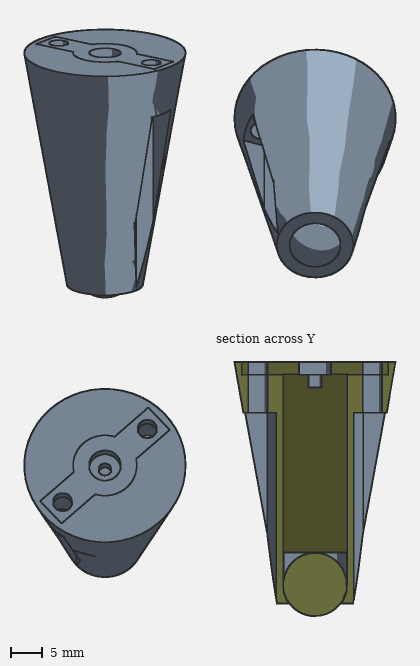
import cadquery as cq
import math

HOUSING_HEIGHT = 38.0
TOP_RADIUS = 12.7
TAPER_ANGLE = 10.0
BOTTOM_RADIUS = TOP_RADIUS - HOUSING_HEIGHT * math.tan(math.radians(TAPER_ANGLE))

BALL_DIAMETER = 10.0
BALL_RADIUS = BALL_DIAMETER / 2
BALL_PROTRUSION = 2.0
BALL_CENTER_Z = BALL_RADIUS - BALL_PROTRUSION
BALL_TOP_Z = BALL_CENTER_Z + BALL_RADIUS

PLATE_THICKNESS = 2.0
PLATE_BOTTOM_Z = HOUSING_HEIGHT - PLATE_THICKNESS
ACCESS_HOLE_DIAMETER = 5.0
HUB_DIAMETER = 2 * ACCESS_HOLE_DIAMETER
BAR_WIDTH = 5.0
SCREW_HOLE_DIAMETER = 3.0
SCREW_OFFSET = 9.0
BAR_LENGTH = 2 * SCREW_OFFSET + BAR_WIDTH

NUT_WIDTH = 5.0
NUT_CEILING_Z = HOUSING_HEIGHT - 8.0
NUT_CORNER_X = SCREW_OFFSET - NUT_WIDTH / math.sqrt(3)
NUT_SHOULDER_X = SCREW_OFFSET - NUT_WIDTH / math.sqrt(3) / 2

PLUG_LENGTH = PLATE_BOTTOM_Z - BALL_TOP_Z
PLUG_HOLE_DIAMETER = 2.0
PLUG_HOLE_DEPTH = 2.0

SIDES = (-1, 1)
SCREW_POINTS = [(side * SCREW_OFFSET, 0) for side in SIDES]


def make_ball():
    return cq.Workplane("XY").sphere(BALL_RADIUS).translate((0, 0, BALL_CENTER_Z))


def plate_blank():
    """Straight bar with a round hub at its middle."""
    seat = cq.Workplane("XY").workplane(offset=PLATE_BOTTOM_Z)
    bar = seat.rect(BAR_LENGTH, BAR_WIDTH).extrude(PLATE_THICKNESS)
    hub = seat.circle(HUB_DIAMETER / 2).extrude(PLATE_THICKNESS)
    return bar.union(hub)


def make_plate():
    top = plate_blank().faces(">Z").workplane(origin=(0, 0, HOUSING_HEIGHT))
    plate = top.circle(ACCESS_HOLE_DIAMETER / 2).cutThruAll()
    return plate.pushPoints(SCREW_POINTS).circle(SCREW_HOLE_DIAMETER / 2).cutThruAll()


def make_plug():
    """Cylinder resting on the ball, with a small blind hole in its top."""
    plug = cq.Workplane("XY").workplane(offset=BALL_TOP_Z).circle(BALL_RADIUS).extrude(PLUG_LENGTH)
    return plug.faces(">Z").workplane().hole(PLUG_HOLE_DIAMETER, PLUG_HOLE_DEPTH)


def ball_bore():
    """Bore that ends below in a spherical seat for the ball."""
    bore = cq.Workplane("XY").workplane(offset=BALL_CENTER_Z).circle(BALL_RADIUS)
    return bore.extrude(PLATE_BOTTOM_Z - BALL_CENTER_Z).union(make_ball())


def nut_pocket(side):
    """Upright slot whose inner end is half a hexagon."""
    half_width = NUT_WIDTH / 2
    outline = [
        (side * NUT_CORNER_X, 0),
        (side * NUT_SHOULDER_X, half_width),
        (side * TOP_RADIUS, half_width),
        (side * TOP_RADIUS, -half_width),
        (side * NUT_SHOULDER_X, -half_width),
    ]
    return cq.Workplane("XY").polyline(outline).close().extrude(NUT_CEILING_Z)


def screw_holes():
    ceiling = cq.Workplane("XY").workplane(offset=NUT_CEILING_Z)
    holes = ceiling.pushPoints(SCREW_POINTS).circle(SCREW_HOLE_DIAMETER / 2)
    return holes.extrude(PLATE_BOTTOM_Z - NUT_CEILING_Z)


def make_housing():
    cone = cq.Solid.makeCone(BOTTOM_RADIUS, TOP_RADIUS, HOUSING_HEIGHT)
    housing = cq.Workplane(cone).cut(plate_blank()).cut(ball_bore()).cut(screw_holes())
    for side in SIDES:
        housing = housing.cut(nut_pocket(side))
    return housing


housing = make_housing()
plate = make_plate()
plug = make_plug()
ball = make_ball()

result = cq.Compound.makeCompound([part.solids().val() for part in (housing, plate, plug, ball)])